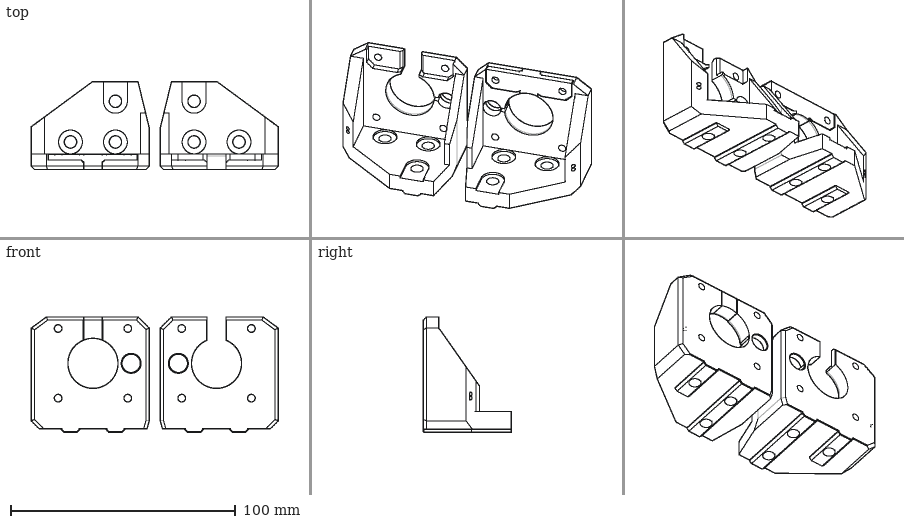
import cadquery as cq

outer_side = 55.0
inner_side = 2.4
plate_thickness = 7.0
depth = 39.2
height = 49.9
front_chamfer = 1.5
bed_chamfer = 0.3

motor_x = -27.5
motor_z = 29.2
motor_bore_radius = 11.1
motor_bore_flare = 0.1
motor_bore_flare_length = 0.9
motor_hole_offset = 15.5
motor_hole_diameter = 3.3
outer_wall = 6.0
inner_wall = 4.0

rod_offset = 17.0
rod_radius = 4.05
rod_entry_radius = 4.15
rod_entry_depth = 2.8
slit_half_height = 0.9
front_skin = 0.6

top_corner_height = 5.0
top_outer_corner = 6.8
top_inner_corner = 5.1
bottom_corner_height = 3.6
bottom_outer_corner = 3.6
bottom_inner_corner = 1.0

floor_z = 7.8
wall_end_y = 25.1
wall_end_z = 19.1

outer_taper_y = 19.1
inner_taper_y = 18.5
rear_outer_x = -27.7
rear_inner_x = -7.4

rib_spacing = 20.0
rib_height = 1.5
rib_top_width = 8.3
rib_step = 0.35
outer_rib_length = 21.5

base_hole_offset = 10.0
base_hole_front_y = 12.3
base_hole_rear_y = 30.4
base_hole_diameter = 5.4
counterbore_diameter = 10.6
counterbore_depth = 1.0

slot_width = 8.4
pocket_front_y = 4.2
pocket_half_width = 20.0
pocket_floor_z = motor_z + 11.0
pocket_corner = 2.8
pocket_lead_in = 1.1
collar_radius = 12.5
cover_gap = 0.3

wall_bore_diameter = 1.5
wall_bore_x = -52.2
wall_bore_low_z = 13.7
wall_bore_pitch = 1.9

outer_x = -outer_side
inner_x = -inner_side
rib_tip_width = rib_top_width - 2 * (rib_height - rib_step)
rib_centres = [motor_x - rib_spacing / 2, motor_x + rib_spacing / 2]


def along_y(points, start, end):
    """Prism with an X-Z outline, from Y = start to Y = end."""
    return cq.Workplane("XZ", origin=(0, start, 0)).polyline(points).close().extrude(start - end)


def along_z(points, start, end):
    """Prism with an X-Y outline, from Z = start to Z = end."""
    return cq.Workplane("XY", origin=(0, 0, start)).polyline(points).close().extrude(end - start)


def rod_along_y(x, z, radius, start, end):
    """Cylinder parallel to Y."""
    return cq.Workplane("XZ", origin=(x, start, z)).circle(radius).extrude(start - end)


def cone_along_y(x, z, front_radius, rear_radius, start, end):
    """Truncated cone parallel to Y."""
    front = cq.Workplane("XZ", origin=(x, start, z)).circle(front_radius)
    return front.workplane(offset=start - end).circle(rear_radius).loft()


def front_outline():
    """Outline seen from the front, with the two alignment ribs along the bottom."""
    points = [
        (outer_x, bottom_corner_height),
        (outer_x, height - top_corner_height),
        (outer_x + top_outer_corner, height),
        (inner_x - top_inner_corner, height),
        (inner_x, height - top_corner_height),
        (inner_x, bottom_corner_height),
        (inner_x - bottom_inner_corner, 0),
    ]
    for x in reversed(rib_centres):
        points += [
            (x + rib_top_width / 2, 0),
            (x + rib_top_width / 2, -rib_step),
            (x + rib_tip_width / 2, -rib_height),
            (x - rib_tip_width / 2, -rib_height),
            (x - rib_top_width / 2, -rib_step),
            (x - rib_top_width / 2, 0),
        ]
    return points + [(outer_x + bottom_outer_corner, 0)]


def blank():
    """Solid block with the front outline and chamfered front edges."""
    block = along_y(front_outline(), 0, depth)
    reach = 0.1
    bottom_edges = cq.selectors.BoxSelector(
        (outer_x + bottom_outer_corner, -reach, -rib_height - reach),
        (inner_x - bottom_inner_corner, reach, reach),
    )
    front_edges = block.faces("<Y").edges()
    block = front_edges.edges(cq.selectors.InverseSelector(bottom_edges)).chamfer(front_chamfer)
    return block.faces("<Y").edges(bottom_edges).chamfer(bed_chamfer)


def plan():
    """Base outline seen from above, tapering towards the rear."""
    return along_z(
        [
            (outer_x, 0),
            (inner_x, 0),
            (inner_x, inner_taper_y),
            (rear_inner_x, depth),
            (rear_outer_x, depth),
            (outer_x, outer_taper_y),
        ],
        -rib_height,
        height,
    )


def side_profile():
    """Plate, sloping side walls and low base seen from the side."""
    points = [
        (0, -rib_height),
        (depth, -rib_height),
        (depth, floor_z),
        (wall_end_y, floor_z),
        (wall_end_y, wall_end_z),
        (plate_thickness, height - top_corner_height),
        (plate_thickness, height),
        (0, height),
    ]
    return cq.Workplane("YZ", origin=(outer_x, 0, 0)).polyline(points).close().extrude(outer_side)


def outer_rib_end():
    """Room behind the end of the short outer rib."""
    room = cq.Workplane("XY").box(rib_spacing, depth, rib_height, centered=(True, False, False))
    return room.translate((rib_centres[0], outer_rib_length, -rib_height))


def motor_space():
    """Space between the side walls, behind the plate and above the base."""
    width = outer_side - inner_side - outer_wall - inner_wall
    space = cq.Workplane("XY").box(width, depth, height, centered=False)
    return space.translate((outer_x + outer_wall, plate_thickness, floor_z))


def motor_cuts():
    """Bore for the motor and its four screw holes."""
    cuts = rod_along_y(motor_x, motor_z, motor_bore_radius, 0, plate_thickness)
    flare_start = plate_thickness - motor_bore_flare_length
    flare_radius = motor_bore_radius + motor_bore_flare
    cuts = cuts.union(
        cone_along_y(motor_x, motor_z, motor_bore_radius, flare_radius, flare_start, plate_thickness)
    )
    for dx in (-motor_hole_offset, motor_hole_offset):
        for dz in (-motor_hole_offset, motor_hole_offset):
            cuts = cuts.union(
                rod_along_y(motor_x + dx, motor_z + dz, motor_hole_diameter / 2, 0, plate_thickness)
            )
    return cuts


def rod_cuts():
    """Rod hole with a chamfered mouth, and the slit that joins it to the motor bore."""
    rod_x = motor_x + rod_offset
    hole = rod_along_y(rod_x, motor_z, rod_radius, 0, plate_thickness)
    entry = rod_along_y(rod_x, motor_z, rod_entry_radius, 0, rod_entry_depth)
    mouth_radius = rod_entry_radius + bed_chamfer
    mouth = cone_along_y(rod_x, motor_z, mouth_radius, rod_entry_radius, 0, bed_chamfer)
    slit = cq.Workplane("XY").box(
        rod_offset, plate_thickness - front_skin, 2 * slit_half_height, centered=(False, False, True)
    ).translate((motor_x, front_skin, motor_z))
    return hole.union(entry).union(mouth).union(slit)


def base_cuts():
    """Three base screw holes with counterbores; the rear counterbore is open to the back."""
    places = [
        (motor_x - base_hole_offset, base_hole_front_y),
        (motor_x + base_hole_offset, base_hole_front_y),
        (motor_x + base_hole_offset, base_hole_rear_y),
    ]
    bottom = floor_z - counterbore_depth
    holes = cq.Workplane("XY", origin=(0, 0, -rib_height)).pushPoints(places)
    holes = holes.circle(base_hole_diameter / 2).extrude(floor_z + rib_height)
    seats = cq.Workplane("XY", origin=(0, 0, bottom)).pushPoints(places)
    seats = seats.circle(counterbore_diameter / 2).extrude(counterbore_depth)
    opening = cq.Workplane("XY").box(
        counterbore_diameter, depth, counterbore_depth, centered=(True, False, False)
    ).translate((motor_x + base_hole_offset, base_hole_rear_y, bottom))
    return holes.union(seats).union(opening)


def about_motor_axis(half_outline):
    """Outline mirrored about the motor axis, from the distances and heights of its right half."""
    right = [(motor_x + distance, other) for distance, other in half_outline]
    left = [(motor_x - distance, other) for distance, other in reversed(half_outline)]
    return right + left


def cover_shape(gap):
    """T-shaped slab in the pocket and slot: gap is left at its ends and rear, half of it at the slot."""
    half_slot = slot_width / 2 - gap / 2
    half_pocket = pocket_half_width - gap
    section = [
        (half_slot, 0),
        (half_slot, pocket_front_y - pocket_lead_in),
        (half_slot + pocket_lead_in, pocket_front_y),
        (half_pocket, pocket_front_y),
        (half_pocket, plate_thickness - gap),
    ]
    face = [
        (half_slot, motor_z),
        (half_slot, pocket_floor_z),
        (half_pocket - pocket_corner, pocket_floor_z),
        (half_pocket, pocket_floor_z + pocket_corner),
        (half_pocket, height),
    ]
    slab = along_z(about_motor_axis(section), motor_z, height)
    slab = slab.intersect(along_y(about_motor_axis(face), 0, plate_thickness))
    slot = cq.Workplane("XY").box(2 * half_slot, plate_thickness, height, centered=(True, False, False))
    collar = rod_along_y(motor_x, motor_z, collar_radius, 0, plate_thickness)
    collar = collar.cut(slot.translate((motor_x, 0, motor_z)))
    bore = rod_along_y(motor_x, motor_z, motor_bore_radius, 0, plate_thickness)
    return slab.cut(bore).cut(collar)


def slot_mouth():
    """Small chamfers along the two front edges of the slot."""
    half = slot_width / 2
    section = [(half + bed_chamfer, 0), (half, bed_chamfer)]
    return along_z(about_motor_axis(section), motor_z, height)


def wall_bores():
    """Two thin bores along the outer wall that come out on its tapered rear."""
    bores = cq.Workplane("XY")
    for number in range(2):
        z = wall_bore_low_z + number * wall_bore_pitch
        bores = bores.add(rod_along_y(wall_bore_x, z, wall_bore_diameter / 2, front_skin, depth))
    return bores.combine()


def make_bracket():
    """Left bracket: motor plate, side walls and base in one piece."""
    bracket = blank().intersect(plan()).intersect(side_profile())
    cuts = [
        outer_rib_end(),
        motor_space(),
        motor_cuts(),
        rod_cuts(),
        base_cuts(),
        cover_shape(0),
        slot_mouth(),
        wall_bores(),
    ]
    for cut in cuts:
        bracket = bracket.cut(cut)
    return bracket.solids()


def make_cover():
    """Cover that fills the slot and pocket, flush with the chamfered front and top."""
    return cover_shape(cover_gap).intersect(blank()).cut(motor_cuts()).solids()


left_bracket = make_bracket()
right_bracket = left_bracket.mirror("YZ")
cover = make_cover()

result = cq.Compound.makeCompound([left_bracket.val(), right_bracket.val(), cover.val()])